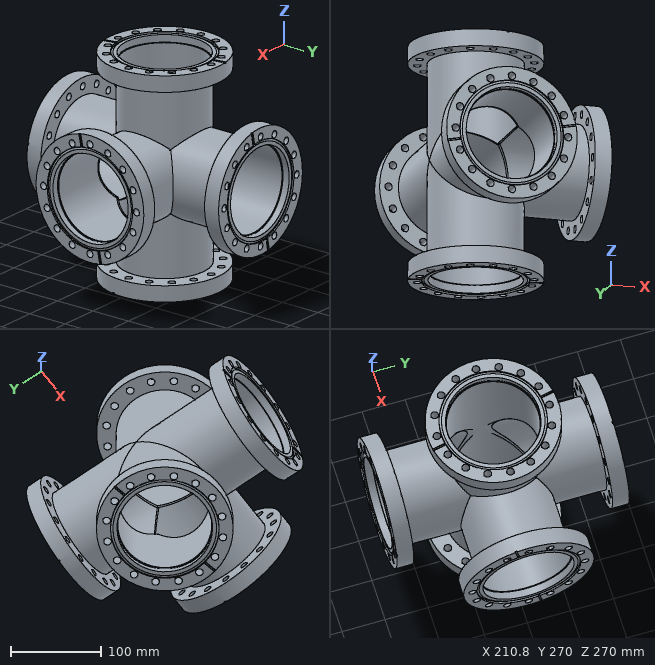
import cadquery as cq

PORT_REACH = 135.0
TUBE_OUTER_RADIUS = 54.0
TUBE_WALL = 2.0
TUBE_INNER_RADIUS = TUBE_OUTER_RADIUS - TUBE_WALL

FLANGE_RADIUS = 75.8
FLANGE_THICKNESS = 19.7
FLANGE_BORE_RADIUS = 53.0
SOCKET_FLOOR_DEPTH = 10.5
RECESS_RADIUS = 60.2
RECESS_DEPTH = 2.2
KNIFE_RADIUS = 57.5
KNIFE_DEPTH = 1.0

BOLT_COUNT = 16
BOLT_CIRCLE_RADIUS = 65.3
BOLT_HOLE_DIAMETER = 8.4
GROOVE_WIDTH = 2.0
GROOVE_DEPTH = KNIFE_DEPTH
GROOVE_ANGLE = 360 / BOLT_COUNT / 2

TUBE_REACH = PORT_REACH - SOCKET_FLOOR_DEPTH

X_AXIS = cq.Vector(1, 0, 0)
Y_AXIS = cq.Vector(0, 1, 0)
Z_AXIS = cq.Vector(0, 0, 1)


def rod(radius, start, end, direction):
    """Round bar along a direction through the origin, from start to end along it."""
    return cq.Workplane(cq.Solid.makeCylinder(radius, end - start, direction * start, direction))


def make_run_tube():
    """Straight vertical tube, opened where the three branch bores enter it."""
    tube = rod(TUBE_OUTER_RADIUS, -TUBE_REACH, TUBE_REACH, Z_AXIS)
    tube = tube.cut(rod(TUBE_INNER_RADIUS, -TUBE_REACH, TUBE_REACH, Z_AXIS))
    tube = tube.cut(rod(TUBE_INNER_RADIUS, -TUBE_REACH, TUBE_REACH, Y_AXIS))
    return tube.cut(rod(TUBE_INNER_RADIUS, 0, TUBE_REACH, X_AXIS))


def make_side_branch(direction):
    """Branch along Y, saddled onto the run tube and opened for the bore of the X branch."""
    branch = rod(TUBE_OUTER_RADIUS, 0, TUBE_REACH, direction)
    branch = branch.cut(rod(TUBE_INNER_RADIUS, 0, TUBE_REACH, direction))
    branch = branch.cut(rod(TUBE_OUTER_RADIUS, -TUBE_REACH, TUBE_REACH, Z_AXIS))
    return branch.cut(rod(TUBE_INNER_RADIUS, 0, TUBE_REACH, X_AXIS))


def make_end_branch():
    """Branch along +X, saddled onto both the run tube and the two side branches."""
    branch = rod(TUBE_OUTER_RADIUS, 0, TUBE_REACH, X_AXIS)
    branch = branch.cut(rod(TUBE_INNER_RADIUS, 0, TUBE_REACH, X_AXIS))
    branch = branch.cut(rod(TUBE_OUTER_RADIUS, -TUBE_REACH, TUBE_REACH, Z_AXIS))
    return branch.cut(rod(TUBE_OUTER_RADIUS, -TUBE_REACH, TUBE_REACH, Y_AXIS))


def make_flange_ring():
    """Turned flange with its face at z = 0: bore, tube socket, seal recess and knife edge."""
    profile = [
        (FLANGE_BORE_RADIUS, -KNIFE_DEPTH),
        (KNIFE_RADIUS, -KNIFE_DEPTH),
        (RECESS_RADIUS, -RECESS_DEPTH),
        (RECESS_RADIUS, 0),
        (FLANGE_RADIUS, 0),
        (FLANGE_RADIUS, -FLANGE_THICKNESS),
        (TUBE_OUTER_RADIUS, -FLANGE_THICKNESS),
        (TUBE_OUTER_RADIUS, -SOCKET_FLOOR_DEPTH),
        (FLANGE_BORE_RADIUS, -SOCKET_FLOOR_DEPTH),
    ]
    return cq.Workplane("XZ").polyline(profile).close().revolve(360, (0, 0), (0, 1))


def make_flange_at_origin():
    """Complete flange, facing +Z with its face at z = 0."""
    bolt_holes = (
        cq.Workplane("XY")
        .polarArray(BOLT_CIRCLE_RADIUS, 0, 360, BOLT_COUNT)
        .circle(BOLT_HOLE_DIAMETER / 2)
        .extrude(-FLANGE_THICKNESS)
    )
    grooves = (
        cq.Workplane("XY")
        .rect(2 * FLANGE_RADIUS, GROOVE_WIDTH)
        .extrude(-GROOVE_DEPTH)
        .rotate((0, 0, 0), (0, 0, 1), GROOVE_ANGLE)
    )
    return make_flange_ring().cut(bolt_holes).cut(grooves)


def place_flange(flange, outward, clocking):
    """Move the flange to the port facing outward, its local X turned to the clocking direction."""
    port_plane = cq.Plane(origin=outward * PORT_REACH, xDir=clocking, normal=outward)
    return cq.Workplane(flange.val().moved(cq.Location(port_plane)))


run_tube = make_run_tube()
side_branches = [make_side_branch(direction) for direction in (Y_AXIS, -Y_AXIS)]
end_branch = make_end_branch()

PORTS = [
    (X_AXIS, Z_AXIS),
    (Y_AXIS, Z_AXIS),
    (-Y_AXIS, -X_AXIS),
    (Z_AXIS, -Y_AXIS),
    (-Z_AXIS, -X_AXIS),
]
flange = make_flange_at_origin()
flanges = [place_flange(flange, outward, clocking) for outward, clocking in PORTS]

result = cq.Compound.makeCompound([
    run_tube.solids().val(),
    *[branch.solids().val() for branch in side_branches],
    end_branch.solids().val(),
    *[placed.solids().val() for placed in flanges],
])